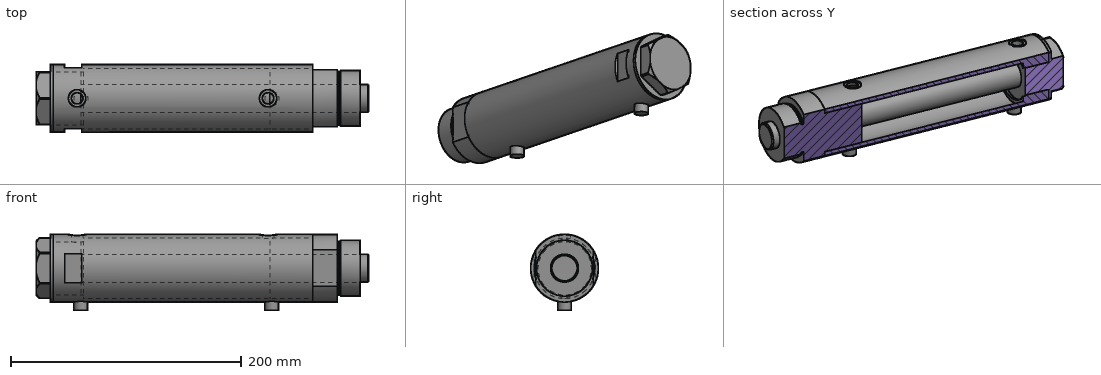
import cadquery as cq
import math

overall_length = 288.8
tube_radius = 29.5

hex_across_flats = 46.2
hex_corner_radius = 26.3
hex_chamfer = 3.0
hex_length = 12.5
flange_thickness = 2.5
spigot_radius = 23.0
spigot_end = 38.7

tube_start = hex_length + flange_thickness
tube_end = 240.3
bore_radius = 26.3
bore_start = 41.0
wrench_slot_start = 24.8
wrench_slot_length = 14.7
wrench_slot_depth = 3.0

port_pitch = 165.8
first_port_x = 35.5
port_radius = 5.0
spotface_radius = 7.5
spotface_depth = 1.0
pin_offset = 3.2
pin_radius = 6.0
pin_end_z = -36.7
pin_root_z = -27.5

head_end = 261.5
head_spigot_start = 202.7
head_flat_distance = 24.8
neck_radius = 23.5
neck_length = 2.3
groove_radius = 23.0
groove_offset = 0.5
groove_width = 1.0
nose_start = 264.5
nose_end = 281.3
nose_radius = 24.3

rod_radius = 12.0
rod_chamfer = 1.2


def cylinder_x(radius, start, end):
    """Cylinder on the X axis between two X positions."""
    return cq.Workplane("YZ").workplane(offset=start).circle(radius).extrude(end - start)


def cylinder_z(radius, x, bottom, top):
    """Upright cylinder at a given X position."""
    return cq.Workplane("XY").workplane(offset=bottom).center(x, 0).circle(radius).extrude(top - bottom)


def make_cap():
    """Chamfered hex head with a round flange and a spigot that plugs the tube."""
    corner_diameter = hex_across_flats / math.cos(math.pi / 6)
    hexagon = (
        cq.Workplane("YZ")
        .transformed(rotate=(0, 0, 90))
        .polygon(6, corner_diameter)
        .extrude(hex_length)
    )
    turned_blank = cylinder_x(hex_corner_radius, 0, hex_length).faces("<X").chamfer(hex_chamfer)
    flange = cylinder_x(tube_radius, hex_length, tube_start)
    spigot = cylinder_x(spigot_radius, tube_start, spigot_end)
    return hexagon.intersect(turned_blank).union(flange).union(spigot)


def make_tube():
    """Tube with a stepped bore, side slots, spotfaced ports on top and pins below."""
    tube = cylinder_x(tube_radius, tube_start, tube_end)
    for side in (-1, 1):
        slot_cutter = cq.Workplane("XY").box(
            wrench_slot_length, 2 * wrench_slot_depth, 2 * tube_radius
        ).translate((wrench_slot_start + wrench_slot_length / 2, side * tube_radius, 0))
        tube = tube.cut(slot_cutter)

    for port_x in (first_port_x, first_port_x + port_pitch):
        tube = tube.union(cylinder_z(pin_radius, port_x + pin_offset, pin_end_z, pin_root_z))
        tube = tube.cut(cylinder_z(port_radius, port_x, 0, tube_radius))
        tube = tube.cut(cylinder_z(spotface_radius, port_x, tube_radius - spotface_depth, tube_radius))

    tube = tube.cut(cylinder_x(spigot_radius, tube_start, bore_start))
    return tube.cut(cylinder_x(bore_radius, bore_start, tube_end))


def make_head():
    """Head with two wrench flats, a nose with a grooved neck, a spigot in the tube and a rod hole."""
    collar = cylinder_x(tube_radius, tube_end, head_end)
    flats_limit = cq.Workplane("XY").box(
        2 * overall_length, 2 * head_flat_distance, 2 * tube_radius
    )
    collar = collar.intersect(flats_limit)
    spigot = cylinder_x(bore_radius, head_spigot_start, tube_end)
    groove_start = head_end + groove_offset
    groove_end = groove_start + groove_width
    nose = (
        cq.Workplane("XY")
        .moveTo(head_end, 0)
        .lineTo(head_end, neck_radius)
        .lineTo(groove_start, neck_radius)
        .lineTo(groove_start, groove_radius)
        .lineTo(groove_end, groove_radius)
        .lineTo(groove_end, neck_radius)
        .lineTo(head_end + neck_length, neck_radius)
        .lineTo(nose_start, nose_radius)
        .lineTo(nose_end, nose_radius)
        .lineTo(nose_end, 0)
        .close()
        .revolve(360, (0, 0, 0), (1, 0, 0))
    )
    rod_hole = cylinder_x(rod_radius, head_spigot_start, nose_end)
    return collar.union(spigot).union(nose).cut(rod_hole)


def make_rod():
    """Rod from the cap spigot out through the head, chamfered at its free end."""
    return cylinder_x(rod_radius, spigot_end, overall_length).faces(">X").chamfer(rod_chamfer)


cap = make_cap()
tube = make_tube()
head = make_head()
rod = make_rod()

result = cq.Compound.makeCompound([cap.val(), tube.val(), head.val(), rod.val()])